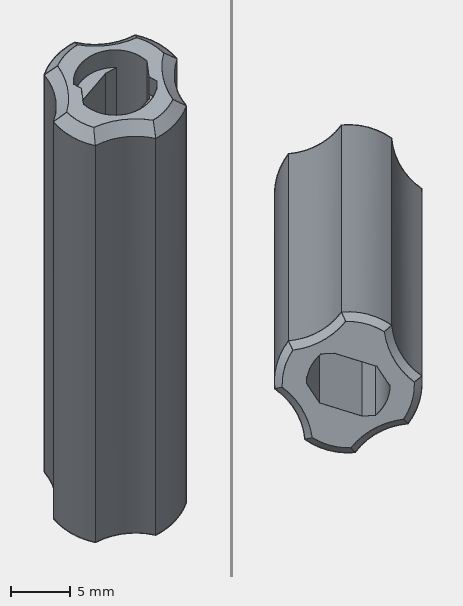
import cadquery as cq
import math

length = 55.0
rod_radius = 6.24
lobe_half_width = 2.2
flute_floor_radius = 5.1
flute_count = 4
top_chamfer = 1.05
bottom_chamfer = 0.65

bore_radius = 7.1 / 2
ledge_depth = 2.35

tooth_tip = (1.9, 2.2)
tooth_slope_end = (0.7, bore_radius)

tooth_slope = (tooth_tip[1] - tooth_slope_end[1]) / (tooth_tip[0] - tooth_slope_end[0])
ledge_corner_x = 2.2
ledge_corner = (ledge_corner_x, tooth_tip[1] + tooth_slope * (ledge_corner_x - tooth_tip[0]))
ledge_far_corner = (2.35, -1.85)
ledge_far_end = (2.0, -3.0)
ledge_edge = [tooth_tip, ledge_corner, ledge_far_corner, ledge_far_end]


def rotate_point(point, angle):
    x, y = point
    c = math.cos(angle)
    s = math.sin(angle)
    return (x * c - y * s, x * s + y * c)


def fluted_rod():
    lobe_shoulder = math.sqrt(rod_radius**2 - lobe_half_width**2)
    angle_step = 2 * math.pi / flute_count
    profile = cq.Workplane("XY").moveTo(lobe_shoulder, -lobe_half_width)
    for index in range(flute_count):
        angle = index * angle_step
        profile = profile.threePointArc(
            rotate_point((rod_radius, 0), angle),
            rotate_point((lobe_shoulder, lobe_half_width), angle),
        )
        profile = profile.threePointArc(
            rotate_point((flute_floor_radius, 0), angle + angle_step / 2),
            rotate_point((lobe_shoulder, -lobe_half_width), angle + angle_step),
        )
    rod = profile.close().extrude(length)
    rod = rod.faces(">Z").chamfer(top_chamfer)
    return rod.faces("<Z").chamfer(bottom_chamfer)


def both_sides(solid):
    return solid.union(solid.rotate((0, 0, 0), (0, 0, 1), 180))


def stop_teeth():
    tooth = (
        cq.Workplane("XY")
        .polyline([
            tooth_tip,
            (rod_radius, tooth_tip[1]),
            (rod_radius, rod_radius),
            (tooth_slope_end[0], rod_radius),
            tooth_slope_end,
        ])
        .close()
        .extrude(length)
    )
    return both_sides(tooth)


def ledges():
    ledge = (
        cq.Workplane("XY")
        .polyline(ledge_edge + [(rod_radius, ledge_far_end[1]), (rod_radius, tooth_tip[1])])
        .close()
        .extrude(length - ledge_depth)
    )
    return both_sides(ledge)


def bore_space():
    bore = cq.Workplane("XY").circle(bore_radius).extrude(length)
    return bore.cut(stop_teeth()).cut(ledges())


result = fluted_rod().cut(bore_space())